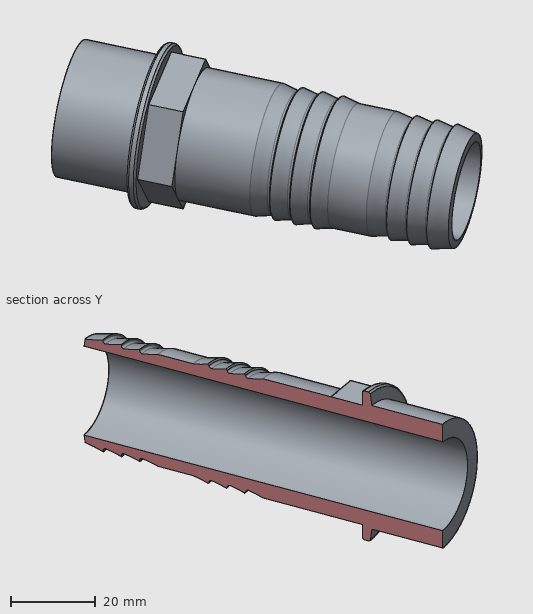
import cadquery as cq
import math

length = 97.0
bore_radius = 11.8

spigot_radius = 16.6
flange_start = 19.1
flange_end = 21.7
flange_radius = 20.0
flange_draft = 0.4
front_bevel_length = 0.5
front_bevel_height = 0.4
back_bevel_length = 0.6
back_bevel_height = 0.4

body_radius = 16.0
hex_end = 30.2
hex_corner_diameter = 2 * body_radius / math.cos(math.pi / 6)

barb_pitch = 4.9
first_barb_fall = 4.0
second_barb_fall = 4.4
barb_drop = 1.0
root_height = 0.6
first_wall_lean = 0.3
second_wall_lean = 0.0
steep_barbs = 3
first_barb_start = 48.6
neck_radius = body_radius - barb_drop
second_barb_start = 76.9
tip_radius = neck_radius - 1.2
tip_bevel_length = 0.3
tip_bevel_height = 1.8


def add_barbs(outline, start, crest_radius, fall_length, wall_lean):
    """Draw the profile from the first crest to the last crest of one barb group."""
    valley_radius = crest_radius - barb_drop
    root_length = barb_pitch - fall_length - wall_lean
    for index in range(steep_barbs):
        valley = start + index * barb_pitch + fall_length
        next_crest = start + (index + 1) * barb_pitch
        root_middle = (
            valley + root_length * math.sin(math.pi / 4),
            valley_radius + root_height * (1 - math.cos(math.pi / 4)),
        )
        root_end = (valley + root_length, valley_radius + root_height)
        outline = (
            outline.lineTo(valley, valley_radius)
            .threePointArc(root_middle, root_end)
            .lineTo(next_crest, crest_radius)
        )
    return outline


front_face_x = flange_start + flange_draft
last_crest = first_barb_start + steep_barbs * barb_pitch

outline = (
    cq.Workplane("XY")
    .moveTo(0, 0)
    .lineTo(0, spigot_radius)
    .lineTo(flange_start, spigot_radius)
    .lineTo(front_face_x, flange_radius - front_bevel_height)
    .lineTo(front_face_x + front_bevel_length, flange_radius)
    .lineTo(flange_end - back_bevel_length, flange_radius)
    .lineTo(flange_end, flange_radius - back_bevel_height)
    .lineTo(flange_end, body_radius)
    .lineTo(first_barb_start, body_radius)
)
outline = add_barbs(outline, first_barb_start, body_radius, first_barb_fall, first_wall_lean)
outline = outline.lineTo(last_crest + first_barb_fall, neck_radius).lineTo(second_barb_start, neck_radius)
outline = add_barbs(outline, second_barb_start, neck_radius, second_barb_fall, second_wall_lean)
outline = (
    outline.lineTo(length - tip_bevel_length, tip_radius)
    .lineTo(length, tip_radius - tip_bevel_height)
    .lineTo(length, 0)
    .close()
)

turned = outline.revolve(360, (0, 0, 0), (1, 0, 0))

hexagon = (
    cq.Workplane("YZ")
    .workplane(offset=flange_end)
    .polygon(6, hex_corner_diameter)
    .extrude(hex_end - flange_end)
)

bore = cq.Workplane("YZ").circle(bore_radius).extrude(length)

result = turned.union(hexagon).cut(bore)